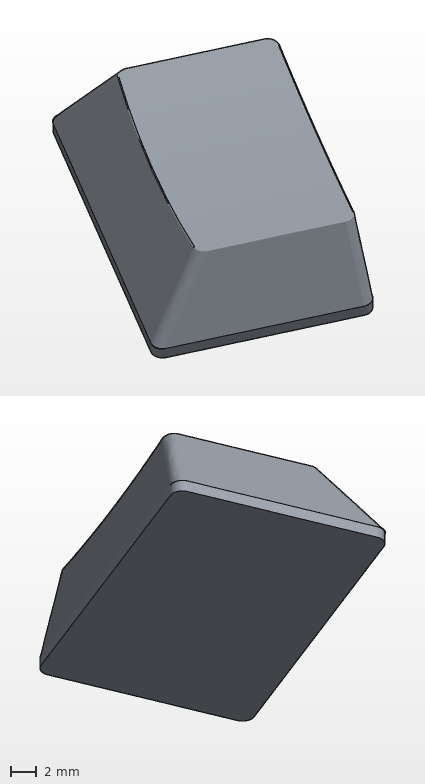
import cadquery as cq

base_length = 27.52
base_width = 18.0
skirt_height = 1.0

body_top = 7.57
top_length = 21.35
top_back_y = 8.42
top_front_y = -4.5

corner_radius = 1.0
rim_radius = 0.1

dish_bottom = 6.88
dish_radius = 93.57


def make_skirt():
    skirt = cq.Workplane("XY").rect(base_length, base_width).extrude(skirt_height)
    return skirt.edges("|Z").fillet(corner_radius)


def make_sloped_body():
    """Walls leaning in to a top face that sits towards the back, with rounded corners."""
    top_width = top_back_y - top_front_y
    top_center_y = (top_back_y + top_front_y) / 2
    body = (
        cq.Workplane("XY", origin=(0, 0, skirt_height))
        .rect(base_length, base_width)
        .workplane(offset=body_top - skirt_height)
        .center(0, top_center_y)
        .rect(top_length, top_width)
        .loft(ruled=True)
    )
    return body.edges("not #Z").fillet(corner_radius)


def make_dish_cutter():
    return (
        cq.Workplane("XZ")
        .center(0, dish_bottom + dish_radius)
        .circle(dish_radius)
        .extrude(base_width, both=True)
    )


keycap = make_skirt().union(make_sloped_body()).cut(make_dish_cutter())

above_skirt = cq.selectors.BoxSelector(
    (-base_length, -base_width, dish_bottom - rim_radius),
    (base_length, base_width, body_top),
)
result = keycap.faces(above_skirt).edges().fillet(rim_radius)